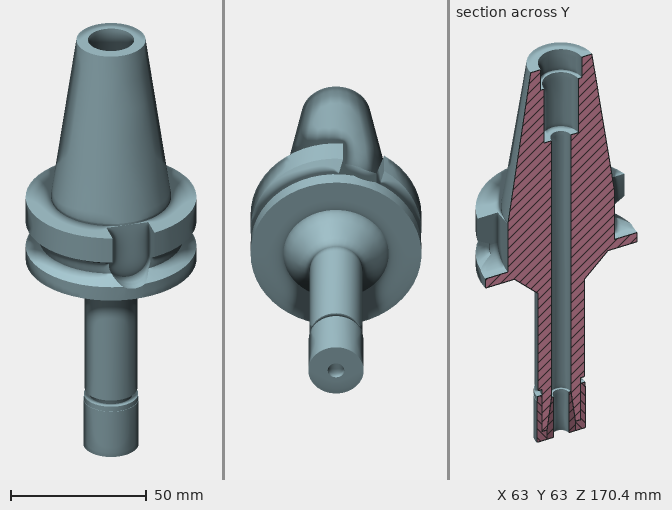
import cadquery as cq

total_height = 170.4
taper_base_z = 105.0
flange_top_z = 104.1
flange_base_z = 77.9
groove_rim_top_z = 93.9
groove_rim_base_z = 83.5
groove_floor_height = 4.3
cone_base_z = 68.2
shank_base_z = 23.5
nut_top_z = 21.1
nut_land_height = 2.0
nose_z = 4.3

taper_top_radius = 12.8
taper_base_radius = 22.2
flange_radius = 31.5
groove_radius = 26.5
cone_top_radius = 19.5
shank_radius = 9.7
nose_radius = 8.0
nut_radius = 10.2
nut_land_radius = 10.0

counterbore_radius = 8.5
counterbore_depth = 9.4
thread_radius = 7.0
thread_depth = 34.0
through_radius = 4.0

slot_width = 16.0
slot_floor_x = 22.2
slot_base_z = 82.3

collet_bore_radius = 3.0
collet_mouth_radius = 5.8
collet_taper_top_z = 18.7


def revolved(outline):
    """Turn an (r, z) outline about the Z axis."""
    return cq.Workplane("XZ").polyline(outline).close().revolve(360, (0, 0, 0), (0, 1, 0))


def drive_slot(side):
    """Round-bottomed slot cutter, on the +X (side = 1) or -X (side = -1) edge of the flange."""
    depth = flange_radius - slot_floor_x
    centre_x = side * (slot_floor_x + depth / 2)
    round_z = slot_base_z + slot_width / 2
    straight_height = taper_base_z - round_z
    straight = cq.Workplane("XY").box(depth, slot_width, straight_height)
    straight = straight.translate((centre_x, 0, round_z + straight_height / 2))
    rounded = cq.Workplane("YZ").circle(slot_width / 2).extrude(depth / 2, both=True)
    return straight.union(rounded.translate((centre_x, 0, round_z)))


def make_holder():
    """Taper, grooved flange, shank and threaded nose with a stepped bore and a collet seat."""
    groove_mid_z = (groove_rim_top_z + groove_rim_base_z) / 2
    counterbore_floor_z = total_height - counterbore_depth
    thread_floor_z = total_height - thread_depth
    body = revolved([
        (taper_top_radius, total_height),
        (taper_base_radius, taper_base_z),
        (taper_base_radius, flange_top_z),
        (flange_radius, flange_top_z),
        (flange_radius, groove_rim_top_z),
        (groove_radius, groove_mid_z + groove_floor_height / 2),
        (groove_radius, groove_mid_z - groove_floor_height / 2),
        (flange_radius, groove_rim_base_z),
        (flange_radius, flange_base_z),
        (cone_top_radius, flange_base_z),
        (shank_radius, cone_base_z),
        (shank_radius, shank_base_z),
        (nose_radius, shank_base_z),
        (nose_radius, nose_z),
        (collet_mouth_radius, nose_z),
        (through_radius, collet_taper_top_z),
        (through_radius, thread_floor_z),
        (thread_radius, thread_floor_z),
        (thread_radius, counterbore_floor_z),
        (counterbore_radius, counterbore_floor_z),
        (counterbore_radius, total_height),
    ])
    for side in (-1, 1):
        body = body.cut(drive_slot(side))
    return body


def make_nut():
    """Clamping nut around the nose, with a slightly smaller land at its top."""
    land_base_z = nut_top_z - nut_land_height
    return revolved([
        (collet_mouth_radius, 0),
        (nut_radius, 0),
        (nut_radius, land_base_z),
        (nut_land_radius, land_base_z),
        (nut_land_radius, nut_top_z),
        (nose_radius, nut_top_z),
        (nose_radius, nose_z),
        (collet_mouth_radius, nose_z),
    ])


def make_collet():
    """Tapered sleeve filling the seat in the nose and the mouth of the nut."""
    return revolved([
        (collet_bore_radius, 0),
        (collet_mouth_radius, 0),
        (collet_mouth_radius, nose_z),
        (through_radius, collet_taper_top_z),
        (collet_bore_radius, collet_taper_top_z),
    ])


holder = make_holder()
nut = make_nut()
collet = make_collet()

result = cq.Compound.makeCompound([holder.val(), nut.val(), collet.val()])